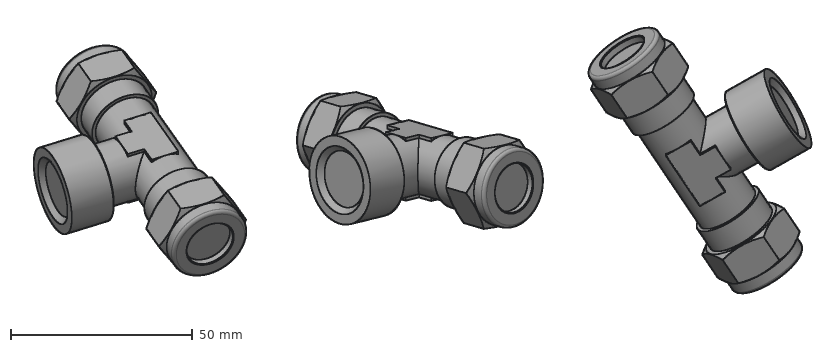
import cadquery as cq
import math

overall_length = 77.0
overall_depth = 43.3
half_length = overall_length / 2

pipe_radius = 9.0

collar_radius = 10.1
collar_inner_x = 17.0

nut_flats = 23.0
nut_corner_radius = nut_flats / math.sqrt(3)
nut_inner_x = 24.1
hex_length = 10.4
nut_chamfer_angle = 30.0
nose_radius = 11.4
nut_end_fillet = 1.0
nut_bore_radius = 7.0
nut_mouth_chamfer = 0.2
nut_bore_depth = 2.15

pad_half_width = 4.1

socket_diameter = 25.0
socket_inner_y = 17.0
socket_reach = overall_depth - nut_corner_radius
socket_back_chamfer = 0.3
socket_mouth_radius = 9.6
socket_floor_radius = 8.0
socket_depth = socket_mouth_radius - socket_floor_radius


def cylinder_x(radius, start, end):
    return cq.Workplane("YZ").workplane(offset=start).circle(radius).extrude(end - start)


def cylinder_y(radius, start, end):
    """Cylinder along the branch; start and end are distances from the run axis toward -Y."""
    return cq.Workplane("XZ").workplane(offset=start).circle(radius).extrude(end - start)


def make_body():
    run = cylinder_x(pipe_radius, -half_length + nut_bore_depth, half_length - nut_bore_depth)
    branch = cylinder_y(pipe_radius, 0, socket_reach - socket_depth)
    pad_bar = cq.Workplane("XY").box(2 * pipe_radius, 2 * pad_half_width, 2 * pipe_radius)
    pad_stem = (
        cq.Workplane("XY")
        .box(2 * pad_half_width, pipe_radius, 2 * pipe_radius)
        .translate((0, -pipe_radius / 2, 0))
    )
    return run.union(branch).union(pad_bar).union(pad_stem)


def make_hex():
    """Hexagon with corners on the Y axis and both ends chamfered by cones that start at the nose radius."""
    hex_outer_x = nut_inner_x + hex_length
    chamfer_run = (nut_corner_radius - nose_radius) * math.tan(math.radians(nut_chamfer_angle))
    prism = (
        cq.Workplane("YZ")
        .workplane(offset=nut_inner_x)
        .polygon(6, 2 * nut_corner_radius)
        .extrude(hex_length)
    )
    envelope = (
        cq.Workplane("XY")
        .moveTo(nut_inner_x, 0)
        .lineTo(nut_inner_x, nose_radius)
        .lineTo(nut_inner_x + chamfer_run, nut_corner_radius)
        .lineTo(hex_outer_x - chamfer_run, nut_corner_radius)
        .lineTo(hex_outer_x, nose_radius)
        .lineTo(hex_outer_x, 0)
        .close()
        .revolve(360, (0, 0, 0), (1, 0, 0))
    )
    return prism.intersect(envelope)


def make_run_end():
    """Collar and nut of the +X end, with the shallow tube recess and its chamfered mouth."""
    collar = cylinder_x(collar_radius, collar_inner_x, nut_inner_x)
    nose = cylinder_x(nose_radius, nut_inner_x + hex_length, half_length)
    nose = nose.faces(">X").edges().fillet(nut_end_fillet)
    recess = cylinder_x(nut_bore_radius, half_length - nut_bore_depth, half_length)
    nut = make_hex().union(nose).union(collar).cut(recess)
    return nut.faces(">X").edges(cq.selectors.RadiusNthSelector(0)).chamfer(nut_mouth_chamfer)


def make_socket():
    socket = cylinder_y(socket_diameter / 2, socket_inner_y, socket_reach)
    socket = socket.faces(">Y").edges().chamfer(socket_back_chamfer)
    mouth = (
        cq.Workplane("XZ")
        .workplane(offset=socket_reach - socket_depth)
        .circle(socket_floor_radius)
        .workplane(offset=socket_depth)
        .circle(socket_mouth_radius)
        .loft()
    )
    return socket.cut(mouth)


run_end = make_run_end()
result = make_body().union(run_end).union(run_end.mirror("YZ")).union(make_socket())